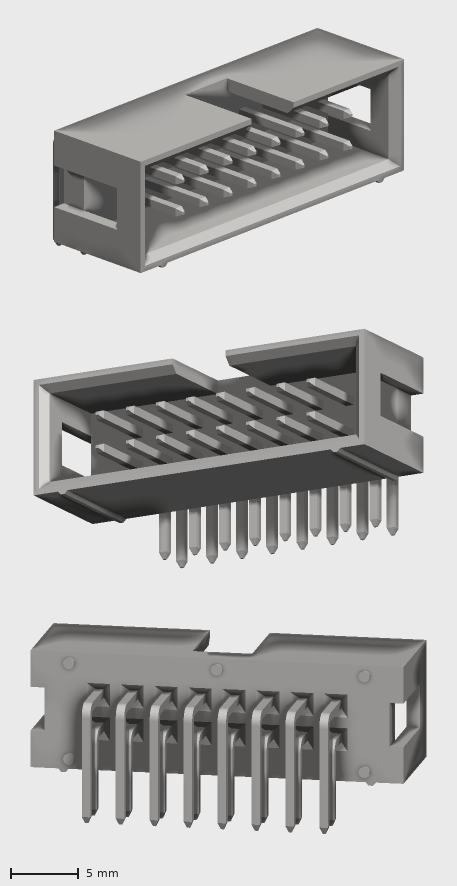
import cadquery as cq
import math

BODY_DEPTH = 8.85
BODY_LENGTH = 27.98
BODY_HEIGHT = 8.85
WALL = 1.04
REAR_WALL = 2.05
MOUTH_CHAMFER = 0.6

KEY_WIDTH = 4.48
END_SLOT_HEIGHT = 3.3
END_SLOT_LENGTH = 6.4

COLUMNS = 8
PITCH = 2.55
PIN_WIDTH = 0.65
PIN_BEND_RADIUS = 0.98
PIN_OVERHANG = 4.7
PIN_END_GAP = 0.5
PIN_DROP = 11.8
TIP_LENGTH = 0.5
TIP_WIDTH = 0.22
FUNNEL_WIDTH = 1.73
FUNNEL_DEPTH = 0.55

BUMP_DIAMETER = 0.85
BUMP_HEIGHT = 0.25
BUMP_SPACING = 11.08
BUMP_TOP_MARGIN = 0.8
BUMP_BOTTOM_MARGIN = 0.78
RIB_OFFSET = 11.53
RIB_BASE_WIDTH = 0.78
RIB_TIP_WIDTH = 0.34
RIB_HEIGHT = 0.25

PIN_TAIL_REACH = PIN_OVERHANG - PIN_WIDTH / 2
TOP = BODY_HEIGHT / 2
CAVITY_LENGTH = BODY_LENGTH - 2 * WALL
CAVITY_HEIGHT = BODY_HEIGHT - 2 * WALL
COLUMN_PLACES = [(i - (COLUMNS - 1) / 2) * PITCH for i in range(COLUMNS)]


def block(x_start, x_end, length, height, y=0, z=0):
    """Box between two X stations, centred on (y, z)."""
    depth = x_end - x_start
    return cq.Workplane("XY").box(depth, length, height).translate((x_start + depth / 2, y, z))


def frustum(plane, start_size, end_size, height):
    """Taper from a start rectangle to an end rectangle along the plane normal."""
    return plane.rect(*start_size).workplane(offset=height).rect(*end_size).loft()


def housing():
    body = block(0, BODY_DEPTH, BODY_LENGTH, BODY_HEIGHT)
    body = body.cut(block(REAR_WALL, BODY_DEPTH, CAVITY_LENGTH, CAVITY_HEIGHT))
    mouth = frustum(
        cq.Workplane("YZ", origin=(BODY_DEPTH, 0, 0)),
        (CAVITY_LENGTH + 2 * MOUTH_CHAMFER, CAVITY_HEIGHT + 2 * MOUTH_CHAMFER),
        (CAVITY_LENGTH, CAVITY_HEIGHT),
        -MOUTH_CHAMFER,
    )
    body = body.cut(mouth)
    body = body.cut(block(REAR_WALL, BODY_DEPTH, KEY_WIDTH, TOP, z=TOP / 2))
    for side in (-1, 1):
        slot_y = side * (BODY_LENGTH - WALL) / 2
        body = body.cut(block(0, END_SLOT_LENGTH, WALL, END_SLOT_HEIGHT, y=slot_y))
    return body


def funnel(y, z):
    """Tapered recess around a contact in the rear face."""
    return frustum(
        cq.Workplane("YZ", origin=(0, y, z)),
        (FUNNEL_WIDTH, FUNNEL_WIDTH),
        (PIN_WIDTH, PIN_WIDTH),
        FUNNEL_DEPTH,
    )


def pin(y, z, tail_reach):
    """Square right-angle contact with tapered ends."""
    half = PIN_WIDTH / 2
    outer = -tail_reach - half
    shaft_end = BODY_DEPTH - PIN_END_GAP - TIP_LENGTH
    tail_end = TOP - PIN_DROP + TIP_LENGTH
    inner_radius = PIN_BEND_RADIUS - PIN_WIDTH
    bend_x = outer + PIN_BEND_RADIUS
    bend_z = z + half - PIN_BEND_RADIUS
    diagonal = math.sqrt(0.5)
    shaft = (
        cq.Workplane("XZ", origin=(0, y + half, 0))
        .moveTo(shaft_end, z + half)
        .lineTo(bend_x, z + half)
        .threePointArc(
            (bend_x - PIN_BEND_RADIUS * diagonal, bend_z + PIN_BEND_RADIUS * diagonal),
            (outer, bend_z),
        )
        .lineTo(outer, tail_end)
        .lineTo(outer + PIN_WIDTH, tail_end)
        .lineTo(outer + PIN_WIDTH, bend_z)
        .threePointArc(
            (bend_x - inner_radius * diagonal, bend_z + inner_radius * diagonal),
            (bend_x, z - half),
        )
        .lineTo(shaft_end, z - half)
        .close()
        .extrude(PIN_WIDTH)
    )
    base = (PIN_WIDTH, PIN_WIDTH)
    point = (TIP_WIDTH, TIP_WIDTH)
    mating_tip = frustum(cq.Workplane("YZ", origin=(shaft_end, y, z)), base, point, TIP_LENGTH)
    tail_tip = frustum(cq.Workplane("XY", origin=(-tail_reach, y, tail_end)), base, point, -TIP_LENGTH)
    return shaft.union(mating_tip).union(tail_tip)


def bumps():
    heights = (TOP - BUMP_TOP_MARGIN, -TOP + BUMP_BOTTOM_MARGIN)
    places = [(y * BUMP_SPACING, z) for y in (-1, 0, 1) for z in heights]
    return cq.Workplane("YZ").pushPoints(places).circle(BUMP_DIAMETER / 2).extrude(-BUMP_HEIGHT)


def rib(y):
    """Trapezoidal rib along the full depth of the underside."""
    return (
        cq.Workplane("YZ", origin=(0, y, -TOP))
        .polyline([
            (-RIB_BASE_WIDTH / 2, 0),
            (RIB_BASE_WIDTH / 2, 0),
            (RIB_TIP_WIDTH / 2, -RIB_HEIGHT),
            (-RIB_TIP_WIDTH / 2, -RIB_HEIGHT),
        ])
        .close()
        .extrude(BODY_DEPTH)
    )


result = housing().union(bumps())
for rib_y in (-RIB_OFFSET, RIB_OFFSET):
    result = result.union(rib(rib_y))

rows = (
    (PITCH / 2, PIN_TAIL_REACH),
    (-PITCH / 2, PIN_TAIL_REACH - PITCH),
)
for row_z, tail_reach in rows:
    for column_y in COLUMN_PLACES:
        result = result.cut(funnel(column_y, row_z))
        result = result.union(pin(column_y, row_z, tail_reach))